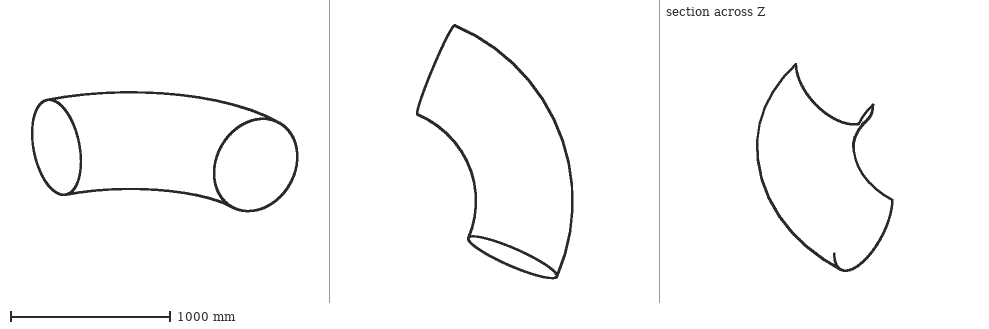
import cadquery as cq

bend_reach = 1219.0
pipe_diameter = bend_reach / 2
wall = 3.0
bend_angle = 90

pipe_radius = pipe_diameter / 2
bore_radius = pipe_radius - wall
bend_radius = bend_reach - pipe_radius

end_ring = cq.Workplane("XZ").circle(pipe_radius).circle(bore_radius)

result = end_ring.revolve(bend_angle, (bend_radius, 0, 0), (bend_radius, -1, 0))